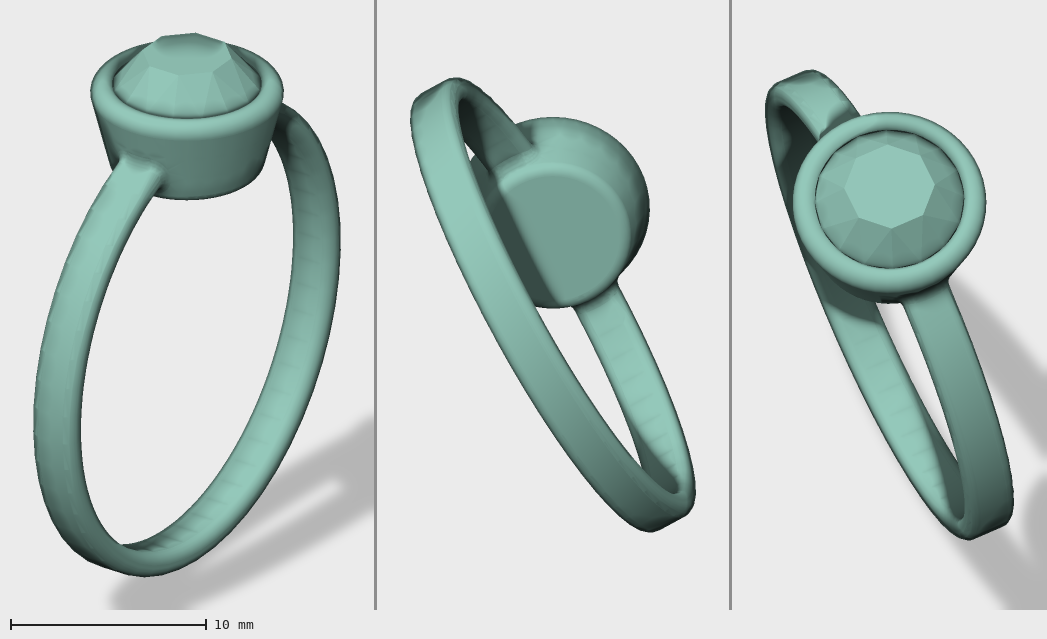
import cadquery as cq
import math

BAND_OUTER_RADIUS = 12.71
BAND_THICKNESS = 1.3
BAND_WIDTH = 2.57
BAND_EDGE_RADIUS = 0.55

BEZEL_BOTTOM_Z = 22.35
BEZEL_TOP_Z = 27.4
BEZEL_BOTTOM_RADIUS = 3.88
BEZEL_OUTER_RADIUS = 4.95
RIM_RADIUS = 0.67
BEZEL_BASE_FILLET = 0.6
JOINT_FILLET = 0.5

STONE_TOP_Z = 28.92
TABLE_SIDES = 8
TABLE_APOTHEM = 2.15
GIRDLE_SIDES = 2 * TABLE_SIDES
GIRDLE_RADIUS = 3.82
GIRDLE_THICKNESS = 0.5
CROWN_HEIGHT = 1.75

girdle_top_z = STONE_TOP_Z - CROWN_HEIGHT
seat_z = girdle_top_z - GIRDLE_THICKNESS


def make_band():
    """Hoop with a rounded rectangular section, revolved about X."""
    middle_radius = BAND_OUTER_RADIUS - BAND_THICKNESS / 2
    section = (
        cq.Sketch()
        .rect(BAND_WIDTH, BAND_THICKNESS)
        .vertices()
        .fillet(BAND_EDGE_RADIUS)
    )
    return (
        cq.Workplane("XZ")
        .placeSketch(section)
        .revolve(360, (0, middle_radius, 0), (1, middle_radius, 0))
        .translate((0, 0, BAND_THICKNESS / 2))
    )


def make_bezel():
    """Tapered cup with a round seat for the stone and a rolled rim."""
    rim_centre_x = BEZEL_OUTER_RADIUS - RIM_RADIUS
    rim_centre_z = BEZEL_TOP_Z - RIM_RADIUS

    run = rim_centre_x - BEZEL_BOTTOM_RADIUS
    rise = rim_centre_z - BEZEL_BOTTOM_Z
    taper = math.atan2(run, rise) + math.asin(RIM_RADIUS / math.hypot(run, rise))
    rim_start = (
        rim_centre_x + RIM_RADIUS * math.cos(taper),
        rim_centre_z - RIM_RADIUS * math.sin(taper),
    )

    rim_end_height = math.sqrt(RIM_RADIUS**2 - (rim_centre_x - GIRDLE_RADIUS) ** 2)
    rim_end = (GIRDLE_RADIUS, rim_centre_z + rim_end_height)

    cup = (
        cq.Workplane("XZ")
        .moveTo(0, BEZEL_BOTTOM_Z)
        .lineTo(BEZEL_BOTTOM_RADIUS, BEZEL_BOTTOM_Z)
        .lineTo(*rim_start)
        .threePointArc((rim_centre_x, BEZEL_TOP_Z), rim_end)
        .lineTo(GIRDLE_RADIUS, seat_z)
        .lineTo(0, seat_z)
        .close()
        .revolve(360, (0, 0, 0), (0, 1, 0))
    )
    return cup.faces("<Z").edges().fillet(BEZEL_BASE_FILLET)


def make_setting():
    """Band and bezel as one body, blended where the band meets the cup."""
    joined = make_band().union(make_bezel())
    joint_edges = joined.edges(
        cq.selectors.BoxSelector(
            (-BAND_WIDTH, -BEZEL_OUTER_RADIUS, BEZEL_BOTTOM_Z + BEZEL_BASE_FILLET),
            (BAND_WIDTH, BEZEL_OUTER_RADIUS, 2 * BAND_OUTER_RADIUS),
        )
    )
    return joint_edges.fillet(JOINT_FILLET).solids()


def polygon_points(sides, radius, z, start_angle):
    """Corners of a level regular polygon centred on the Z axis."""
    points = []
    for i in range(sides):
        angle = start_angle + 2 * math.pi * i / sides
        points.append(cq.Vector(radius * math.cos(angle), radius * math.sin(angle), z))
    return points


def make_stone():
    """Faceted crown on a straight girdle with a flat underside."""
    half_side_angle = math.pi / TABLE_SIDES
    table_radius = TABLE_APOTHEM / math.cos(half_side_angle)
    table = polygon_points(TABLE_SIDES, table_radius, STONE_TOP_Z, half_side_angle)
    girdle = polygon_points(GIRDLE_SIDES, GIRDLE_RADIUS, girdle_top_z, 0)
    base = polygon_points(GIRDLE_SIDES, GIRDLE_RADIUS, seat_z, 0)

    outlines = [table, base]
    for i in range(TABLE_SIDES):
        corner = table[i]
        before = girdle[2 * i]
        below = girdle[2 * i + 1]
        after = girdle[(2 * i + 2) % GIRDLE_SIDES]
        outlines.append([corner, before, below])
        outlines.append([corner, below, after])
        outlines.append([corner, after, table[(i + 1) % TABLE_SIDES]])
    for i in range(GIRDLE_SIDES):
        j = (i + 1) % GIRDLE_SIDES
        outlines.append([base[i], base[j], girdle[j], girdle[i]])

    faces = [cq.Face.makeFromWires(cq.Wire.makePolygon(points, close=True)) for points in outlines]
    return cq.Workplane(obj=cq.Solid.makeSolid(cq.Shell.makeShell(faces)))


setting = make_setting()
stone = make_stone()
result = cq.Compound.makeCompound([setting.val(), stone.val()])